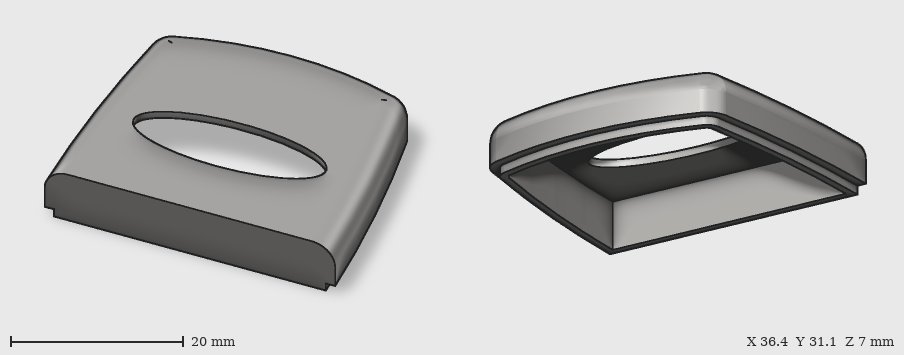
import cadquery as cq

width = 36.4
depth = 31.1
height = 7.0

side_radius = 169.62
back_radius = 47.85
corner_radius = 3.02

top_fillet = 3.0
wall = 1.0

lip_height = 1.1
lip_inset = 1.15

opening_half_length = 12.0
opening_half_width = 4.0
opening_center_y = 12.0


def cylinder(radius, x, y, bottom, top):
    return cq.Workplane("XY", origin=(x, y, bottom)).circle(radius).extrude(top - bottom)


def outline_solid(inset, front, bottom, top):
    """Extrude the plan outline, offset inwards by inset and cut flat at Y = front."""
    side_center = side_radius - width / 2
    block = cq.Workplane("XY", origin=(0, front, bottom)).box(
        width, depth - front, top - bottom, centered=(True, False, False)
    )
    for x in (-side_center, side_center):
        block = block.intersect(cylinder(side_radius - inset, x, 0, bottom, top))
    block = block.intersect(
        cylinder(back_radius - inset, 0, depth - back_radius, bottom, top)
    )
    return block.edges("|Z").edges(">Y").fillet(corner_radius - inset)


body = outline_solid(0, 0, lip_height, height)
body = body.faces(">Z").edges("not <Y").fillet(top_fillet)

lip = outline_solid(lip_inset, 0, 0, lip_height)

cavity = outline_solid(lip_inset + wall, wall, 0, height - wall)

opening = (
    cq.Workplane("XY")
    .center(0, opening_center_y)
    .ellipse(opening_half_length, opening_half_width)
    .extrude(height)
)

result = body.union(lip).cut(cavity).cut(opening)